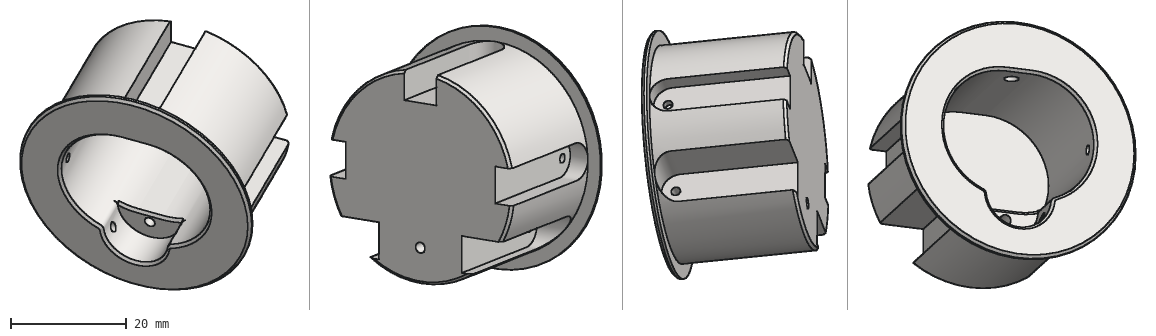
import cadquery as cq

flange_diameter = 43.2
flange_thickness = 1.0
total_length = 25.0
body_radius = 19.0
edge_chamfer = 0.5

bore_radius = 11.5
bore_center_spacing = 4.7
bore_center_z = 0.9
end_wall = 2.0
bore_depth = total_length - end_wall

pocket_radius = 6.0
pocket_center_z = -9.95
pocket_depth = 7.0
pocket_corner_radius = 1.05
pocket_hole_diameter = 1.9

groove_width = 6.6
groove_end_y = flange_thickness + groove_width / 2
top_groove_wall = 1.0
side_groove_wall = 1.5
top_groove_floor = bore_center_z + bore_radius + top_groove_wall
side_groove_floor = bore_radius + bore_center_spacing / 2 + side_groove_wall
pocket_groove_floor = 8.5
pocket_groove_z = -12.5

top_hole_diameter = 2.5
top_hole_y = 4.0
side_hole_diameter = 1.6
side_hole_y = pocket_depth / 2


def make_body():
    """Revolve the flange and the barrel."""
    flange_radius = flange_diameter / 2
    return (
        cq.Workplane("XY")
        .moveTo(0, 0)
        .lineTo(flange_radius - edge_chamfer, 0)
        .lineTo(flange_radius, edge_chamfer)
        .lineTo(flange_radius, flange_thickness)
        .lineTo(body_radius, flange_thickness)
        .lineTo(body_radius, total_length - edge_chamfer)
        .lineTo(body_radius - edge_chamfer, total_length)
        .lineTo(0, total_length)
        .close()
        .revolve(360, (0, 0, 0), (0, 1, 0))
    )


def cut_bore_and_pocket(body):
    """Cut both recesses, round their shared corners and break their rims."""
    bore = (
        cq.Workplane("XZ")
        .center(0, bore_center_z)
        .slot2D(bore_center_spacing + 2 * bore_radius, 2 * bore_radius)
        .extrude(-bore_depth)
    )
    pocket = (
        cq.Workplane("XZ")
        .center(0, pocket_center_z)
        .circle(pocket_radius)
        .extrude(-pocket_depth)
    )
    body = body.cut(bore).cut(pocket)

    corners = cq.selectors.BoxSelector(
        (-pocket_radius, 0, pocket_center_z - pocket_radius),
        (pocket_radius, pocket_depth, pocket_center_z + pocket_radius),
    )
    body = body.edges("|Y").edges(corners).fillet(pocket_corner_radius)

    front_rim = body.faces("<Y").val().innerWires()[0].Edges()
    body = body.newObject(front_rim).chamfer(edge_chamfer)

    bevel_radius = bore_radius + edge_chamfer
    step_bevel = (
        cq.Workplane("XZ", origin=(0, pocket_depth, bore_center_z))
        .slot2D(bore_center_spacing + 2 * bevel_radius, 2 * bevel_radius)
        .extrude(-edge_chamfer, taper=45)
    )
    pocket_outline = (
        cq.Workplane("XZ")
        .center(0, pocket_center_z)
        .circle(pocket_radius)
        .extrude(-total_length)
    )
    return body.cut(step_bevel.intersect(pocket_outline))


def groove(axis, side, floor, cross_center):
    """Groove cutter facing along X or Z, from its floor out past the barrel."""
    half_width = groove_width / 2
    if axis == "X":
        origin = (side * floor, 0, cross_center)
        normal = (side, 0, 0)
    else:
        origin = (cross_center, 0, side * floor)
        normal = (0, 0, side)
    plane = cq.Plane(origin=origin, xDir=(0, 1, 0), normal=normal)
    return (
        cq.Workplane(plane)
        .moveTo(total_length, -half_width)
        .lineTo(groove_end_y, -half_width)
        .threePointArc((flange_thickness, 0), (groove_end_y, half_width))
        .lineTo(total_length, half_width)
        .close()
        .extrude(flange_diameter / 2 - floor)
    )


def cross_hole(z):
    """Hole cutter along X through both sides of the barrel."""
    return (
        cq.Workplane("YZ")
        .center(side_hole_y, z)
        .circle(side_hole_diameter / 2)
        .extrude(body_radius, both=True)
    )


result = cut_bore_and_pocket(make_body())

result = result.cut(groove("Z", 1, top_groove_floor, 0))
top_hole = (
    cq.Workplane("XY", origin=(0, top_hole_y, bore_center_z))
    .circle(top_hole_diameter / 2)
    .extrude(body_radius)
)
result = result.cut(top_hole)

for floor, z in ((side_groove_floor, bore_center_z), (pocket_groove_floor, pocket_groove_z)):
    for side in (-1, 1):
        result = result.cut(groove("X", side, floor, z))
    result = result.cut(cross_hole(z))

pocket_hole = (
    cq.Workplane("XZ")
    .center(0, pocket_groove_z)
    .circle(pocket_hole_diameter / 2)
    .extrude(-total_length)
)
result = result.cut(pocket_hole)